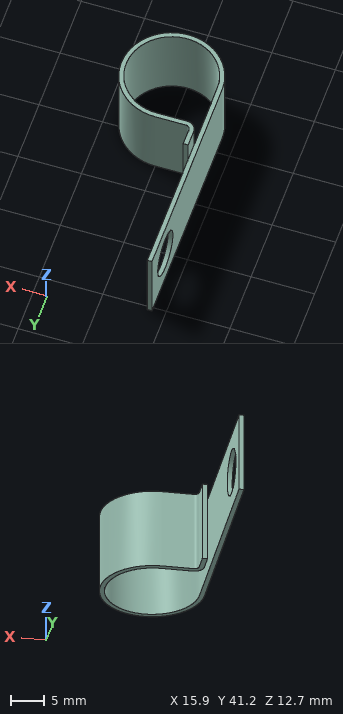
import cadquery as cq

overall_length = 41.25
loop_diameter = 15.9
strip_width = 12.7
thickness = 0.8
hole_diameter = 7.15
lip_offset = 1.6
lip_tip_y = 11.3
bend_outer_radius = 1.5

loop_radius = loop_diameter / 2
bore_radius = loop_radius - thickness
strap_end_y = overall_length - loop_radius
hole_y = strap_end_y - strip_width / 2
lip_near_x = -loop_radius + lip_offset
lip_far_x = lip_near_x + thickness
bend_x = lip_near_x + bend_outer_radius
bend_y = bore_radius + bend_outer_radius
bend_inner_radius = bend_outer_radius - thickness


def clamp_strip():
    """Strap, three-quarter loop and turned-up lip as one bent strip."""
    profile = (
        cq.Workplane("XY")
        .moveTo(-loop_radius, strap_end_y)
        .lineTo(-loop_radius, 0)
        .threePointArc((0, -loop_radius), (loop_radius, 0))
        .radiusArc((0, loop_radius), -loop_radius)
        .lineTo(bend_x, loop_radius)
        .radiusArc((lip_far_x, bend_y), bend_inner_radius)
        .lineTo(lip_far_x, lip_tip_y)
        .lineTo(lip_near_x, lip_tip_y)
        .lineTo(lip_near_x, bend_y)
        .radiusArc((bend_x, bore_radius), -bend_outer_radius)
        .lineTo(0, bore_radius)
        .radiusArc((bore_radius, 0), bore_radius)
        .threePointArc((0, -bore_radius), (-bore_radius, 0))
        .lineTo(-bore_radius, strap_end_y)
        .close()
    )
    return profile.extrude(strip_width)


def strap_hole():
    """Cutter for the mounting hole, running along X through the strap only."""
    return (
        cq.Workplane("YZ", origin=(-loop_radius, 0, 0))
        .center(hole_y, strip_width / 2)
        .circle(hole_diameter / 2)
        .extrude(thickness)
    )


result = clamp_strip().cut(strap_hole())